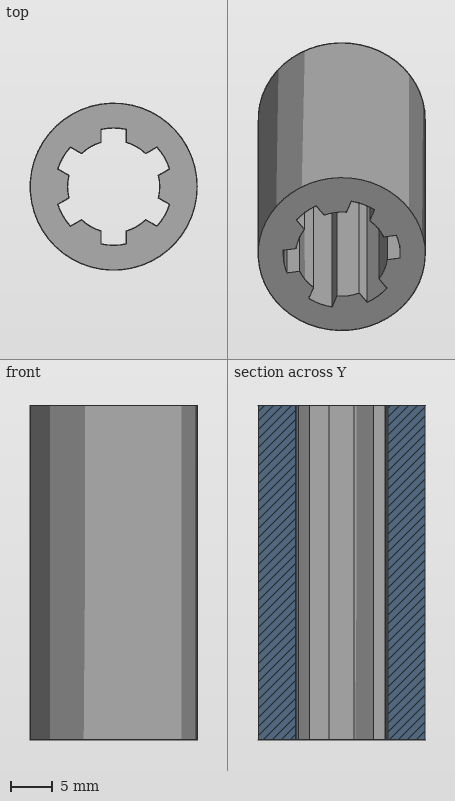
import cadquery as cq

OUTER_DIAMETER = 20.0
LENGTH = 40.0

MINOR_DIAMETER = 11.0
MAJOR_DIAMETER = 14.0
GROOVE_WIDTH = 3.0
GROOVE_COUNT = 6
FIRST_GROOVE_ANGLE = 90.0


def sleeve_body():
    """Plain round bar standing on the XY plane."""
    return cq.Workplane("XY").circle(OUTER_DIAMETER / 2).extrude(LENGTH)


def spline_groove(angle):
    """Parallel-sided bar reaching from the axis past the major diameter."""
    return (
        cq.Workplane("XY")
        .rect(OUTER_DIAMETER / 2, GROOVE_WIDTH)
        .extrude(LENGTH)
        .translate((OUTER_DIAMETER / 4, 0, 0))
        .rotate((0, 0, 0), (0, 0, 1), angle)
    )


def splined_bore():
    """Minor-diameter bore with grooves whose floors lie on the major diameter."""
    bore = cq.Workplane("XY").circle(MINOR_DIAMETER / 2).extrude(LENGTH)
    major_cylinder = cq.Workplane("XY").circle(MAJOR_DIAMETER / 2).extrude(LENGTH)
    for index in range(GROOVE_COUNT):
        angle = FIRST_GROOVE_ANGLE + index * 360.0 / GROOVE_COUNT
        bore = bore.union(spline_groove(angle).intersect(major_cylinder))
    return bore


result = sleeve_body().cut(splined_bore())